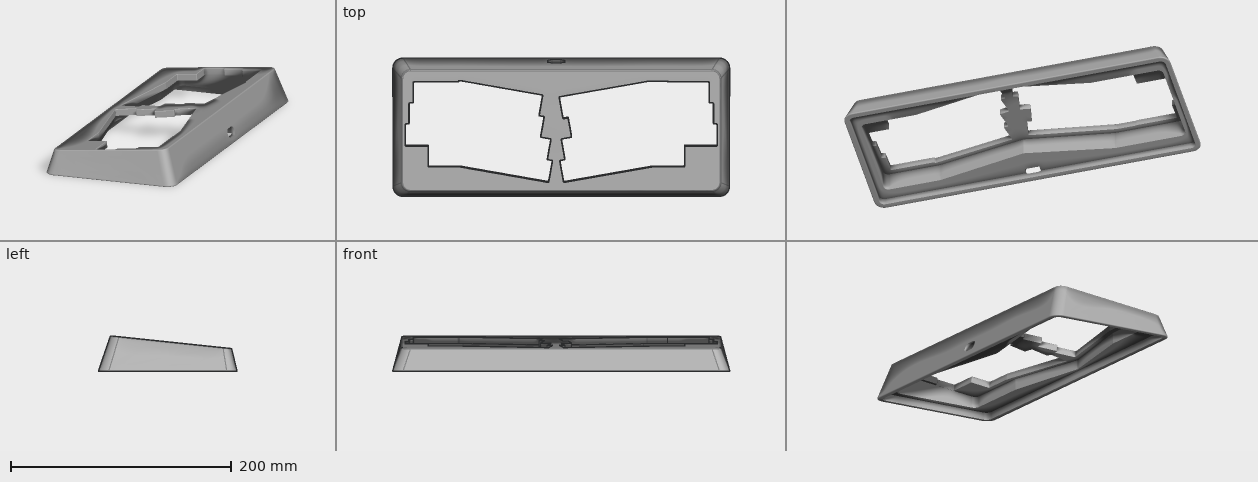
import cadquery as cq
import math

BASE_LENGTH = 306.0
BASE_WIDTH = 126.2
BASE_RADIUS = 9.5
BASE_FILLET = 1.0
TOP_LENGTH = 289.0
TOP_FRONT_Y = -58.0
TOP_BACK_Y = 52.0
TOP_RADIUS = 8.0
TOP_FILLET = 1.07
TOP_HEIGHT = 27.2
TILT = 6.0

PLATE_THICKNESS = 6.0
BLOCK_DEPTH = 77.0
CLEARANCE = 0.73
ROWS = 4
KEY_PITCH = (BLOCK_DEPTH - CLEARANCE) / ROWS
SPLAY = 10.0
FRONT_EDGE = -36.0
OUTER_EDGES = (141.2, 137.8, 134.0)
CORNER_Y = -50.0
LEFT_CORNER_X = -11.5
LEFT_STEPS = (0, 0.25, 0.75, 1)
LEFT_NOTCH_X = 120.5
LEFT_SPLAYED_KEYS = 5
RIGHT_CORNER_X = 2.3
RIGHT_STEPS = (0, 0.25, 0.75, 0.5)
RIGHT_NOTCH_X = 111.5
RIGHT_STAGGER = 0.45
RIGHT_STAGGER_X = 96.2
WINDOW_FILLET = 0.8
WINDOW_CHAMFER = 0.45

CAVITY_HALF_LENGTH = 141.5
CAVITY_BACK_Y = 46.7
CAVITY_FRONT_Y = -40.3
CAVITY_CENTER_X = -7.3
CAVITY_BEND = 82.0
CAVITY_RADIUS = 5.0

POCKET_LENGTH = 296.5
POCKET_WIDTH = 115.5
POCKET_DEPTH = 6.7
POCKET_RADIUS = 5.0

PORT_X = -4.5
PORT_Z = 9.8
PORT_LENGTH = 16.2
PORT_HEIGHT = 8.2
PORT_DEPTH = 10.7

COS_TILT = math.cos(math.radians(TILT))
COS_SPLAY = math.cos(math.radians(SPLAY))
SIN_SPLAY = math.sin(math.radians(SPLAY))
TAN_SPLAY = math.tan(math.radians(SPLAY))
BACK_EDGE = FRONT_EDGE + BLOCK_DEPTH

TOP_PLANE = cq.Plane(origin=(0, 0, TOP_HEIGHT)).rotated((TILT, 0, 0))
TOP_FACE = cq.DirectionMinMaxSelector(TOP_PLANE.zDir, True)


def make_shell():
    """Solid with sloping sides, from the base outline up to the tilted top outline."""
    base = cq.Sketch().rect(BASE_LENGTH, BASE_WIDTH).vertices().fillet(BASE_RADIUS)
    top_front = TOP_FRONT_Y / COS_TILT
    top_back = TOP_BACK_Y / COS_TILT
    top = cq.Sketch().rect(TOP_LENGTH, top_back - top_front).vertices().fillet(TOP_RADIUS)
    top = top.moved(cq.Location(TOP_PLANE) * cq.Location(cq.Vector(0, (top_front + top_back) / 2, 0)))
    shell = cq.Workplane().placeSketch(base, top).loft(ruled=True)
    shell = shell.faces(TOP_FACE).edges().fillet(TOP_FILLET)
    return shell.faces("<Z").edges().fillet(BASE_FILLET)


def splayed_point(side, corner_x, u, v):
    """Point u outwards and v backwards from a window's inner front corner, along its splayed block."""
    x = corner_x + side * (u * COS_SPLAY - v * SIN_SPLAY)
    y = CORNER_Y + u * SIN_SPLAY + v * COS_SPLAY
    return x, y


def stepped_edge(side, corner_x, steps):
    """Points along the inner edge of a window, from front to back."""
    points = []
    v = 0
    for row, step in enumerate(steps):
        u = step * KEY_PITCH
        points.append(splayed_point(side, corner_x, u, v))
        v = (row + 1) * KEY_PITCH + CLEARANCE
        if row + 1 < ROWS and steps[row + 1] < step:
            v -= CLEARANCE
        points.append(splayed_point(side, corner_x, u, v))
    return points


def outer_edge(side, corner_x, notch_x):
    """Points along the outer edge of a window, from back to front, ending at the front bend."""
    points = []
    for row in (3, 2, 1):
        x = side * OUTER_EDGES[row - 1]
        back = FRONT_EDGE + (row + 1) * KEY_PITCH + CLEARANCE
        front = FRONT_EDGE + row * KEY_PITCH + (CLEARANCE if row > 1 else 0)
        points += [(x, back), (x, front)]
    points += [(side * notch_x, front), (side * notch_x, FRONT_EDGE)]
    front_bend_x = corner_x + side * (FRONT_EDGE - CORNER_Y) / TAN_SPLAY
    return points + [(front_bend_x, FRONT_EDGE)]


def make_window(points, sharp_x=None):
    """Window cutter with rounded corners, apart from any corners at sharp_x."""
    upright = cq.ParallelDirSelector(TOP_PLANE.zDir)
    window = cq.Workplane(TOP_PLANE).polyline(points).close().extrude(-PLATE_THICKNESS)
    corners = window.edges(upright)
    if sharp_x is not None:
        corners = corners.filter(lambda edge: abs(edge.Center().x - sharp_x) > WINDOW_FILLET)
    return corners.fillet(WINDOW_FILLET)


def make_left_window():
    side = -1
    inner = stepped_edge(side, LEFT_CORNER_X, LEFT_STEPS)
    block_end = LEFT_SPLAYED_KEYS * KEY_PITCH + CLEARANCE
    bend = splayed_point(side, LEFT_CORNER_X, block_end, BLOCK_DEPTH)
    foot = (bend[0] - (bend[1] - BACK_EDGE) * TAN_SPLAY, BACK_EDGE)
    return make_window(inner + [bend, foot] + outer_edge(side, LEFT_CORNER_X, LEFT_NOTCH_X))


def make_right_window():
    side = 1
    inner = stepped_edge(side, RIGHT_CORNER_X, RIGHT_STEPS)
    inner_x, inner_y = inner[-1]
    far_edge = BACK_EDGE + RIGHT_STAGGER
    column = [
        (inner_x + (far_edge - inner_y) / TAN_SPLAY, far_edge),
        (RIGHT_STAGGER_X, far_edge),
        (RIGHT_STAGGER_X, BACK_EDGE),
    ]
    points = inner + column + outer_edge(side, RIGHT_CORNER_X, RIGHT_NOTCH_X)
    return make_window(points, RIGHT_STAGGER_X)


def make_cavity():
    """Upright cutter from the base to the underside of the plate."""
    bend_drop = CAVITY_BEND * TAN_SPLAY
    points = []
    for y, direction in ((CAVITY_BACK_Y, -1), (CAVITY_FRONT_Y, 1)):
        points += [
            (-direction * CAVITY_HALF_LENGTH, y),
            (CAVITY_CENTER_X - direction * CAVITY_BEND, y),
            (CAVITY_CENTER_X, y - bend_drop),
            (CAVITY_CENTER_X + direction * CAVITY_BEND, y),
            (direction * CAVITY_HALF_LENGTH, y),
        ]
    cavity = cq.Workplane().polyline(points).close().extrude(TOP_HEIGHT * 2)
    cavity = cavity.edges("|Z and (<X or >X)").fillet(CAVITY_RADIUS)
    plate_block = (
        cq.Workplane(TOP_PLANE)
        .workplane(offset=-PLATE_THICKNESS)
        .rect(BASE_LENGTH, 2 * BASE_WIDTH)
        .extrude(2 * TOP_HEIGHT)
    )
    return cavity.cut(plate_block)


def make_pocket():
    return (
        cq.Workplane()
        .rect(POCKET_LENGTH, POCKET_WIDTH)
        .extrude(POCKET_DEPTH)
        .edges("|Z")
        .fillet(POCKET_RADIUS)
    )


def make_port():
    back = BASE_WIDTH / 2
    start = cq.Workplane("XZ", origin=(PORT_X, back, PORT_Z))
    return start.slot2D(PORT_LENGTH, PORT_HEIGHT).extrude(PORT_DEPTH)


def chamfer_windows(body):
    top_face = body.faces(TOP_FACE).val()
    rims = [edge for wire in top_face.innerWires() for edge in wire.Edges()]
    return body.newObject(rims).chamfer(WINDOW_CHAMFER)


body = make_shell().cut(make_left_window()).cut(make_right_window())
body = chamfer_windows(body)
result = body.cut(make_cavity()).cut(make_pocket()).cut(make_port())